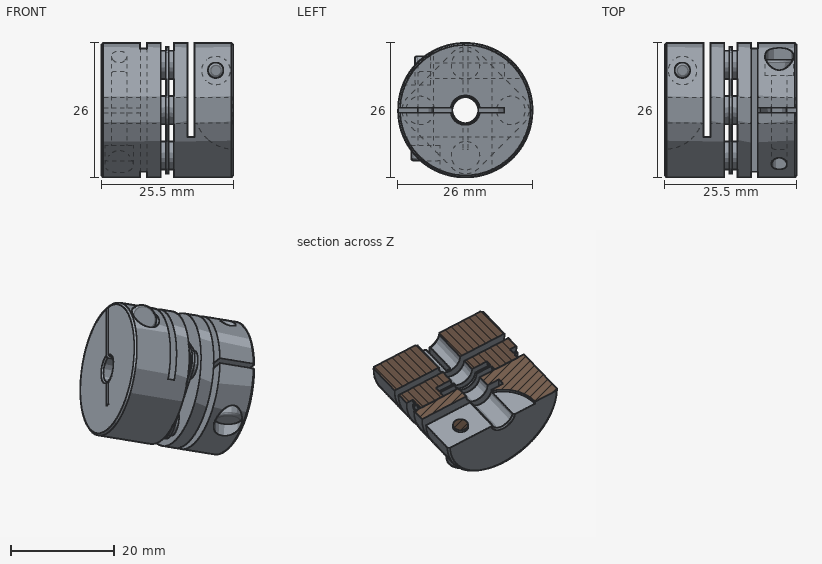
import cadquery as cq


hub_diameter = 26.0
hub_radius = hub_diameter / 2
coupling_length = 25.5
end_x = coupling_length / 2
rim_chamfer = 0.4

bore_diameter = 5.0
bore_chamfer = 0.35

disc_thickness = 0.5
spacer_thickness = 1.0
spacer_diameter = 5.5
spacer_count = 4
spacer_circle_radius = 8.75
lobe_radius = 3.5
inner_face_x = disc_thickness / 2 + spacer_thickness
hub_length = end_x - inner_face_x

slit_width = 1.3
slit_inner_x = 3.95
slit_outer_x = slit_inner_x + slit_width
slit_floor = -5.15

slot_width = 1.0
blade_radius = end_x - slit_outer_x

screw_diameter = 3.0
screw_end_distance = 3.4
screw_x = end_x - screw_end_distance
screw_offset = 7.7
head_diameter = 5.5
head_height = 3.0
head_top = 9.75
head_seat = head_top - head_height
head_fillet = 0.5
tip_reach = 7.5
tip_fillet = 0.5


def x_cylinder(diameter, start_x, length):
    """Cylinder on the shaft axis."""
    return cq.Workplane("YZ", origin=(start_x, 0, 0)).circle(diameter / 2).extrude(length)


def z_cylinder(diameter, start_z, length):
    """Cylinder on the clamp screw axis of the hub at -X."""
    return (
        cq.Workplane("XY", origin=(-screw_x, screw_offset, start_z))
        .circle(diameter / 2)
        .extrude(length)
    )


def make_hub():
    """Hub at -X, its clamping slot open towards +Y."""
    hub = x_cylinder(hub_diameter, -end_x, hub_length).faces("<X").chamfer(rim_chamfer)
    hub = hub.cut(x_cylinder(bore_diameter, -end_x, hub_length))
    bore_edge = cq.selectors.RadiusNthSelector(0)
    hub = hub.faces("<X").edges(bore_edge).chamfer(bore_chamfer)

    slit = cq.Workplane("XY").box(
        slit_width, hub_radius - slit_floor, hub_diameter, centered=(False, False, True)
    )
    hub = hub.cut(slit.translate((-slit_outer_x, slit_floor, 0)))

    blade_path = cq.Workplane("XY", origin=(-end_x, 0, -slot_width / 2))
    slot = blade_path.circle(blade_radius).extrude(slot_width)
    slot = slot.union(blade_path.rect(blade_radius, hub_radius, centered=False).extrude(slot_width))
    hub = hub.cut(slot)

    hub = hub.cut(z_cylinder(screw_diameter, -head_seat, head_seat + hub_radius))
    return hub.cut(z_cylinder(head_diameter, -hub_radius, hub_radius - head_seat))


def make_screw():
    """Clamp screw of the hub at -X, its head towards -Z."""
    head = z_cylinder(head_diameter, -head_top, head_height).faces("<Z").edges().fillet(head_fillet)
    shank = z_cylinder(screw_diameter, -head_seat, head_seat + tip_reach)
    return head.union(shank.faces(">Z").edges().fillet(tip_fillet))


def make_disc():
    """Flexible disc with a spacer on both sides of every lobe."""
    lobe_side = 2 ** 0.5 * spacer_circle_radius + 2 * lobe_radius
    disc = (
        cq.Workplane("XY")
        .box(disc_thickness, lobe_side, lobe_side)
        .edges("|X")
        .fillet(lobe_radius)
        .rotate((0, 0, 0), (1, 0, 0), 45)
    )
    disc = disc.cut(x_cylinder(bore_diameter, -disc_thickness / 2, disc_thickness))
    spacers = (
        cq.Workplane("YZ", origin=(-inner_face_x, 0, 0))
        .polarArray(spacer_circle_radius, 0, 360, spacer_count)
        .circle(spacer_diameter / 2)
        .extrude(2 * inner_face_x)
    )
    return disc.union(spacers)


def at_opposite_end(body):
    """Copy mirrored to the +X end and turned a quarter so +Y becomes +Z."""
    return body.mirror("YZ").rotate((0, 0, 0), (1, 0, 0), 90)


plain_hub = make_hub()
disc_hub = at_opposite_end(make_hub()).union(make_disc())
clamp_screw = make_screw()
clamp_screws = [clamp_screw, at_opposite_end(clamp_screw)]

result = cq.Compound.makeCompound(
    [plain_hub.val(), disc_hub.val(), *[screw.val() for screw in clamp_screws]]
)